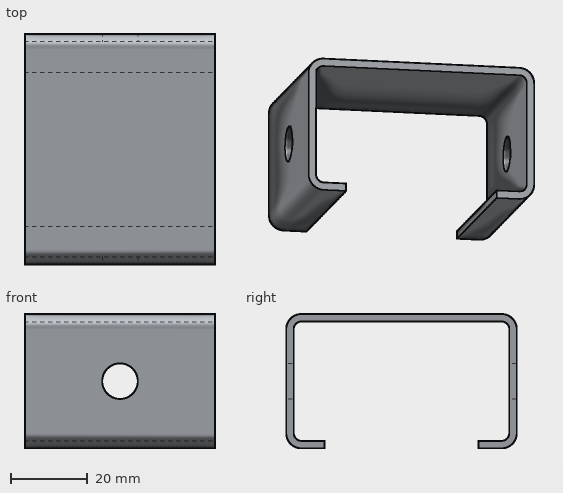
import cadquery as cq

length = 49.5
width = 60.0
height = 35.0
thickness = 2.0
inner_bend_radius = 2.0
outer_bend_radius = inner_bend_radius + thickness
lip_width = 10.0
hole_diameter = 9.2


def rounded_bar(bar_width, bar_height, bend_radius):
    """Solid bar along X, centred on the origin, with rounded long edges."""
    bar = cq.Workplane("YZ").rect(bar_width, bar_height).extrude(length / 2, both=True)
    return bar.edges("|X").fillet(bend_radius)


def make_channel():
    """Rounded tube with its bottom wall opened between the two lips."""
    outside = rounded_bar(width, height, outer_bend_radius)
    inside = rounded_bar(width - 2 * thickness, height - 2 * thickness, inner_bend_radius)
    opening_width = width - 2 * lip_width
    bottom_opening = (
        cq.Workplane("XY")
        .workplane(offset=-height / 2)
        .rect(length, opening_width)
        .extrude(thickness)
    )
    return outside.cut(inside).cut(bottom_opening)


def make_cross_hole():
    """Cylinder along Y at the middle of the side walls."""
    return cq.Workplane("XZ").circle(hole_diameter / 2).extrude(width / 2, both=True)


result = make_channel().cut(make_cross_hole())